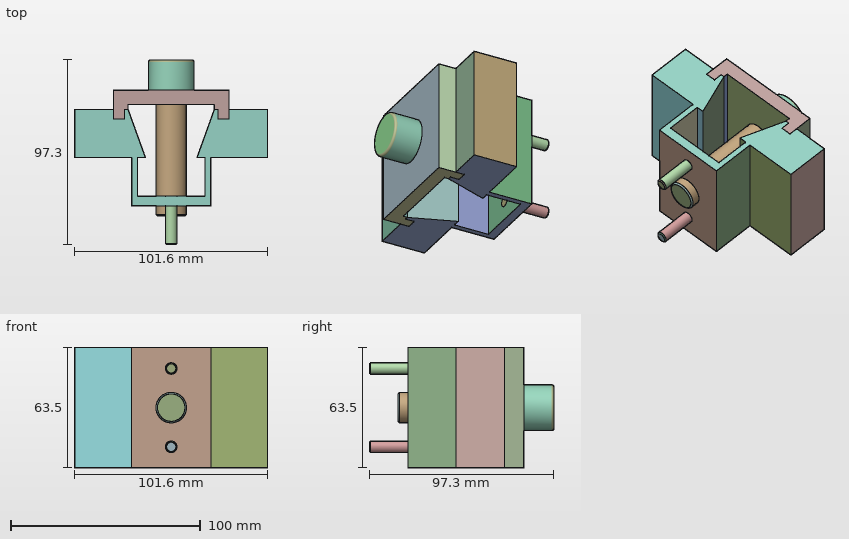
import cadquery as cq

height = 63.5

wing_span = 101.6
wing_bottom = 25.4
wing_top = 50.8
channel_width = 41.7
channel_inner_width = 35.4
floor_thickness = 5.1
throat_width = 27.0
mouth_width = 45.3

cover_width = 61.0
cover_top = 61.0
cover_inner_face = 53.3
foot_width = 5.8
foot_depth = 5.1

shank_diameter = 16.1
head_diameter = 24.2
head_height = 16.0
head_fillet = 1.2
shank_protrusion = 5.3
shank_chamfer = 0.8

pin_diameter = 6.1
pin_protrusion = 20.3
pin_spacing = 41.2
pin_chamfer = 0.6

pin_heights = [-pin_spacing / 2, pin_spacing / 2]


def prism(points):
    """Extrude an XY outline over the full height."""
    return cq.Workplane("XY").polyline(points).close().extrude(height / 2, both=True)


def mirrored(right_half):
    """Complete an outline from its +X half, listed from one end to the other."""
    return right_half + [(-x, y) for x, y in reversed(right_half)]


def cylinder(diameter, start, end, z=0.0):
    """Cylinder along +Y from start to end, at X = 0 and the given Z."""
    plane = cq.Plane(origin=(0, start, z), xDir=(1, 0, 0), normal=(0, 1, 0))
    return cq.Workplane(plane).circle(diameter / 2).extrude(end - start)


def make_cover():
    foot_end = wing_top - foot_depth
    foot_inner_x = cover_width / 2 - foot_width
    cover = prism(mirrored([
        (cover_width / 2, cover_top),
        (cover_width / 2, foot_end),
        (foot_inner_x, foot_end),
        (foot_inner_x, wing_top),
        (mouth_width / 2, wing_top),
        (mouth_width / 2, cover_inner_face),
    ]))
    return cover.cut(cylinder(shank_diameter, cover_inner_face, cover_top))


def make_base():
    foot_end = wing_top - foot_depth
    foot_inner_x = cover_width / 2 - foot_width
    base = prism(mirrored([
        (channel_width / 2, 0),
        (channel_width / 2, wing_bottom),
        (wing_span / 2, wing_bottom),
        (wing_span / 2, wing_top),
        (cover_width / 2, wing_top),
        (cover_width / 2, foot_end),
        (foot_inner_x, foot_end),
        (foot_inner_x, wing_top),
        (mouth_width / 2, wing_top),
        (throat_width / 2, wing_bottom),
        (channel_inner_width / 2, wing_bottom),
        (channel_inner_width / 2, floor_thickness),
    ]))
    base = base.cut(cylinder(shank_diameter, 0, floor_thickness))
    for z in pin_heights:
        base = base.cut(cylinder(pin_diameter, 0, floor_thickness, z))
    return base


def make_bolt():
    shank = cylinder(shank_diameter, -shank_protrusion, cover_top)
    shank = shank.faces("<Y").chamfer(shank_chamfer)
    head = cylinder(head_diameter, cover_top, cover_top + head_height)
    head = head.faces(">Y").fillet(head_fillet)
    return shank.union(head)


def make_pin(z):
    """Pin seated through the channel floor, flush with its inner face."""
    pin = cylinder(pin_diameter, -pin_protrusion, floor_thickness, z)
    return pin.faces("<Y").chamfer(pin_chamfer)


cover = make_cover()
base = make_base()
bolt = make_bolt()
pins = [make_pin(z) for z in pin_heights]

result = cq.Compound.makeCompound(
    [base.val(), cover.val(), bolt.val(), *[pin.val() for pin in pins]]
)